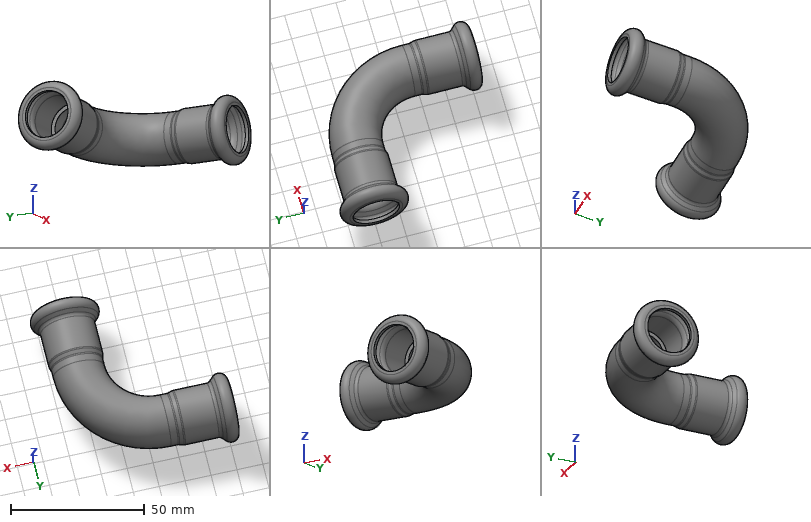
import cadquery as cq
import math


overall_length = 66.25
bead_diameter = 26.5
mouth_distance = overall_length - bead_diameter / 2
arm_length = 26.1
bend_radius = mouth_distance - arm_length

tube_radius = 19.8 / 2
bore_radius = 14.85 / 2
socket_radius = 21.0 / 2
socket_wall = 1.45
socket_bore_radius = socket_radius - socket_wall
socket_depth = 20.7

bead_round = 3.0
bead_center_radius = bead_diameter / 2 - bead_round
groove_round = bead_round - socket_wall
flank_angle = math.radians(45)
neck_fillet = 2.0
neck_center_radius = socket_radius + neck_fillet
neck_center_depth = bead_round + (
    bead_round + neck_fillet - (neck_center_radius - bead_center_radius) * math.sin(flank_angle)
) / math.cos(flank_angle)

taper_angle = math.radians(16)
taper_round = 2.0
taper_round_length = taper_round * math.sin(taper_angle)
taper_round_drop = taper_round * (1 - math.cos(taper_angle))
taper_cone_drop = socket_radius - tube_radius - 2 * taper_round_drop
taper_cone_length = taper_cone_drop / math.tan(taper_angle)
taper_end = socket_depth + 2 * taper_round_length + taper_cone_length


def polar(center, radius, angle):
    """Point on a circle, as (depth from mouth, distance from axis)."""
    return (center[0] + radius * math.cos(angle), center[1] + radius * math.sin(angle))


bead_center = (bead_round, bead_center_radius)
neck_center = (neck_center_depth, neck_center_radius)
neck_start_angle = flank_angle + math.pi
neck_end_angle = 1.5 * math.pi
neck_mid_angle = (neck_start_angle + neck_end_angle) / 2


def add_bead_and_neck(profile, bead_radius, neck_radius):
    """Continue a profile around the bead, down the flank and through the neck fillet."""
    return (
        profile
        .threePointArc(
            polar(bead_center, bead_radius, math.pi / 2),
            polar(bead_center, bead_radius, flank_angle),
        )
        .lineTo(*polar(neck_center, neck_radius, neck_start_angle))
        .threePointArc(
            polar(neck_center, neck_radius, neck_mid_angle),
            polar(neck_center, neck_radius, neck_end_angle),
        )
    )


def revolve_arm(profile):
    """Close a profile at the axis and turn it around X."""
    return profile.close().revolve(360, (0, 0, 0), (1, 0, 0))


def arm_body():
    """Solid outside shape of one arm, its mouth at X = 0."""
    upper_center = (socket_depth, socket_radius - taper_round)
    lower_center = (taper_end, tube_radius + taper_round)
    upper_end = math.pi / 2 - taper_angle
    upper_mid = math.pi / 2 - taper_angle / 2
    profile = cq.Workplane("XY").lineTo(0, bead_center_radius)
    profile = add_bead_and_neck(profile, bead_round, neck_fillet)
    profile = (
        profile
        .lineTo(socket_depth, socket_radius)
        .threePointArc(
            polar(upper_center, taper_round, upper_mid),
            polar(upper_center, taper_round, upper_end),
        )
        .lineTo(*polar(lower_center, taper_round, upper_end + math.pi))
        .threePointArc(
            polar(lower_center, taper_round, upper_mid + math.pi),
            (taper_end, tube_radius),
        )
        .lineTo(arm_length, tube_radius)
        .lineTo(arm_length, 0)
    )
    return revolve_arm(profile)


def arm_cavity():
    """Mouth, seal groove, socket and bore of one arm."""
    profile = (
        cq.Workplane("XY")
        .lineTo(0, socket_bore_radius)
        .lineTo(socket_wall, socket_bore_radius)
        .lineTo(socket_wall, bead_center_radius)
    )
    profile = add_bead_and_neck(profile, groove_round, neck_fillet + socket_wall)
    profile = (
        profile
        .lineTo(socket_depth, socket_bore_radius)
        .lineTo(socket_depth, bore_radius)
        .lineTo(arm_length, bore_radius)
        .lineTo(arm_length, 0)
    )
    return revolve_arm(profile)


def hollow_bend():
    """Quarter torus tube joining the two arms."""
    return (
        cq.Workplane("YZ", origin=(-bend_radius, 0, 0))
        .circle(tube_radius)
        .circle(bore_radius)
        .revolve(90, (-bend_radius, 0, 0), (-bend_radius, -1, 0))
    )


arm = arm_body().cut(arm_cavity())
arm_from_x = arm.translate((-mouth_distance, 0, 0))
arm_from_y = arm.rotate((0, 0, 0), (0, 0, 1), 90).translate((0, -mouth_distance, 0))
result = hollow_bend().union(arm_from_x).union(arm_from_y)